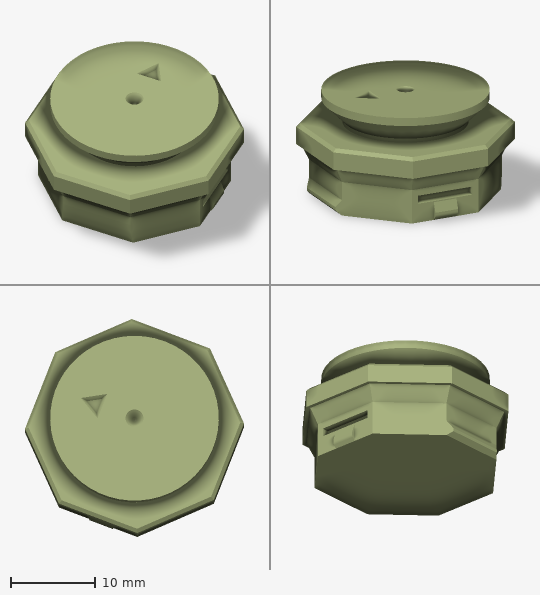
import cadquery as cq
import math

collar_width = 24.0
ledge_width = 23.05
base_width = 21.2

base_top = 4.22
collar_bottom = 6.2
deck_height = 8.78
total_height = 12.8

chamfer_inset = 0.4
chamfer_drop = 0.4

knob_diameter = 20.0
neck_diameter = 15.0
knob_rim_height = 1.0
knob_flare_height = (knob_diameter - neck_diameter) / 2

dimple_diameter = 2.1
dimple_depth = dimple_diameter / 2
arrow_center_y = 5.0
arrow_radius = 1.82
arrow_floor_radius = 1.0
arrow_depth = 0.4

catch_width = 3.0
catch_reach = 0.43
catch_top = 2.23
catch_face_top = 1.03
catch_face_bottom = 0.75
catch_round_inset = 0.1
catch_round_bottom = 0.43
slot_length = 7.2
slot_height = 1.0
slot_bottom = 2.38
slot_depth = 0.9

lip_reach = 0.58
lip_top = 1.95
lip_face_top = 0.95
lip_face_bottom = 0.55

relief_top = 2.95
relief_inset = 0.25

half_base = base_width / 2
half_corner_angle = 360 / 8 / 2


def octagon(width, height):
    """Regular octagon outline with flats facing X and Y, `width` across flats."""
    circumdiameter = width / math.cos(math.radians(half_corner_angle))
    corners = cq.Workplane("XY", origin=(0, 0, height)).transformed(rotate=(0, 0, half_corner_angle))
    return corners.polygon(8, circumdiameter)


def octagon_prism(width, bottom, top):
    return octagon(width, bottom).extrude(top - bottom)


def octagon_frustum(bottom_width, bottom, top_width, top):
    lower = octagon(bottom_width, bottom).wires().val()
    upper = octagon(top_width, top).wires().val()
    return cq.Workplane(cq.Solid.makeLoft([lower, upper], True))


def make_body():
    chamfer_bottom = deck_height - chamfer_drop
    base = octagon_prism(base_width, 0, base_top)
    flare = octagon_frustum(base_width, base_top, ledge_width, collar_bottom)
    collar = octagon_prism(collar_width, collar_bottom, chamfer_bottom)
    deck_width = collar_width - 2 * chamfer_inset
    chamfer = octagon_frustum(collar_width, chamfer_bottom, deck_width, deck_height)
    return base.union(flare).union(collar).union(chamfer)


def make_knob():
    rim_bottom = total_height - knob_rim_height
    profile = [
        (0, deck_height),
        (neck_diameter / 2, deck_height),
        (neck_diameter / 2, rim_bottom - knob_flare_height),
        (knob_diameter / 2, rim_bottom),
        (knob_diameter / 2, total_height),
        (0, total_height),
    ]
    return cq.Workplane("XZ").polyline(profile).close().revolve(360, (0, 0), (0, 1))


def make_dimple():
    profile = [
        (0, total_height - dimple_depth),
        (dimple_diameter / 2, total_height),
        (0, total_height),
    ]
    return cq.Workplane("XZ").polyline(profile).close().revolve(360, (0, 0), (0, 1))


def make_arrow():
    """Triangular pocket with sloped walls, pointing to +Y."""

    def triangle(radius, height):
        plane = cq.Workplane("XY", origin=(0, arrow_center_y, height))
        return plane.transformed(rotate=(0, 0, 90)).polygon(3, 2 * radius).wires().val()

    floor = triangle(arrow_floor_radius, total_height - arrow_depth)
    mouth = triangle(arrow_radius, total_height)
    return cq.Workplane(cq.Solid.makeLoft([floor, mouth], True))


def make_catch():
    """Catch on the +X side; its profile is extruded along Y."""
    root = half_base - slot_depth
    tip = half_base + catch_reach
    return (
        cq.Workplane("XZ")
        .moveTo(root, 0)
        .lineTo(root, catch_top)
        .lineTo(half_base, catch_top)
        .lineTo(tip, catch_face_top)
        .lineTo(tip, catch_face_bottom)
        .tangentArcPoint((tip - catch_round_inset, catch_round_bottom), relative=False)
        .lineTo(half_base, 0)
        .close()
        .extrude(catch_width / 2, both=True)
    )


def make_slot():
    """Relief slot in the +X side."""
    slot = cq.Workplane("XY").box(slot_depth, slot_length, slot_height, centered=(False, True, False))
    return slot.translate((half_base - slot_depth, 0, slot_bottom))


def make_lip():
    """Lip along the +Y side, ending on the planes of the neighbouring diagonal sides."""
    tip = half_base + lip_reach
    profile = [
        (0, 0),
        (half_base, 0),
        (tip, lip_face_bottom),
        (tip, lip_face_top),
        (half_base, lip_top),
        (0, lip_top),
    ]
    bar = cq.Workplane("YZ").polyline(profile).close().extrude(half_base, both=True)
    diagonal_sides = cq.Workplane("XY").rect(base_width, base_width).extrude(lip_top)
    diagonal_sides = diagonal_sides.rotate((0, 0, 0), (0, 0, 1), 45)
    return bar.intersect(diagonal_sides)


def make_relief():
    """Cutter that curves the -Y side inward towards the bottom."""
    return (
        cq.Workplane("YZ")
        .moveTo(-collar_width / 2, base_top)
        .lineTo(-half_base, base_top)
        .lineTo(-half_base, relief_top)
        .tangentArcPoint((-half_base + relief_inset, 0), relative=False)
        .lineTo(-collar_width / 2, 0)
        .close()
        .extrude(half_base, both=True)
    )


result = make_body().union(make_knob()).cut(make_dimple()).cut(make_arrow())
result = result.cut(make_relief()).union(make_lip())

for side_angle in (0, 180):
    axis = ((0, 0, 0), (0, 0, 1))
    result = result.union(make_catch().rotate(*axis, side_angle))
    result = result.cut(make_slot().rotate(*axis, side_angle))